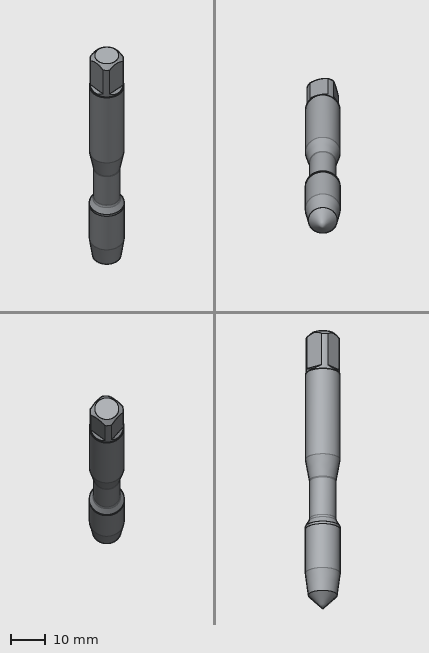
import cadquery as cq
import math

total_length = 84.3

head_diameter = 10.1
tip_diameter = 8.35
tip_height = tip_diameter / 2
lead_top = 10.9
head_top = 24.4

neck_diameter = 7.7
collar_bottom = 25.1
lower_flare_angle = 30.0
neck_top = 39.3
neck_fillet = 1.5
shank_bottom = 45.9

shank_diameter = 10.0
shank_top = 72.25

drive_diameter = 9.6
drive_width = 8.0
drive_top_diameter = 6.9
flat_bottom = 73.3


def make_cutting_head():
    """Pointed head with a tapered lead, turned about Z."""
    profile = [
        (0, 0),
        (tip_diameter / 2, tip_height),
        (head_diameter / 2, lead_top),
        (head_diameter / 2, head_top),
        (0, head_top),
    ]
    return cq.Workplane("XZ").polyline(profile).close().revolve(360, (0, 0), (0, 1))


def make_turned_shank():
    """Collar, neck, shank and round drive blank, turned about Z."""
    flare_depth = (head_diameter - neck_diameter) / 2
    neck_bottom = collar_bottom + flare_depth / math.tan(math.radians(lower_flare_angle))
    shank_chamfer = (shank_diameter - drive_diameter) / 2
    drive_chamfer = (drive_diameter - drive_top_diameter) / 2
    profile = [
        (0, head_top),
        (head_diameter / 2, head_top),
        (head_diameter / 2, collar_bottom),
        (neck_diameter / 2, neck_bottom),
        (neck_diameter / 2, neck_top),
        (shank_diameter / 2, shank_bottom),
        (shank_diameter / 2, shank_top - shank_chamfer),
        (drive_diameter / 2, shank_top),
        (drive_diameter / 2, total_length - drive_chamfer),
        (drive_top_diameter / 2, total_length),
        (0, total_length),
    ]
    blank = cq.Workplane("XZ").polyline(profile).close().revolve(360, (0, 0), (0, 1))
    neck_rings = blank.edges(cq.selectors.RadiusNthSelector(1))
    return neck_rings.fillet(neck_fillet)


def make_flat_cutter():
    """Cutter for the +X drive flat, running out at 45 degrees at its lower end."""
    inner = drive_width / 2
    outer = shank_diameter / 2
    profile = [
        (inner, total_length),
        (inner, flat_bottom),
        (outer, flat_bottom - (outer - inner)),
        (outer, total_length),
    ]
    return cq.Workplane("XZ").polyline(profile).close().extrude(drive_diameter / 2, both=True)


def make_shank():
    """Shank body with its four-sided drive."""
    shank = make_turned_shank()
    flat_cutter = make_flat_cutter()
    for quarter_turn in range(4):
        shank = shank.cut(flat_cutter.rotate((0, 0, 0), (0, 0, 1), quarter_turn * 90))
    return shank


cutting_head = make_cutting_head()
shank = make_shank()

result = cq.Compound.makeCompound([cutting_head.val(), *shank.vals()])